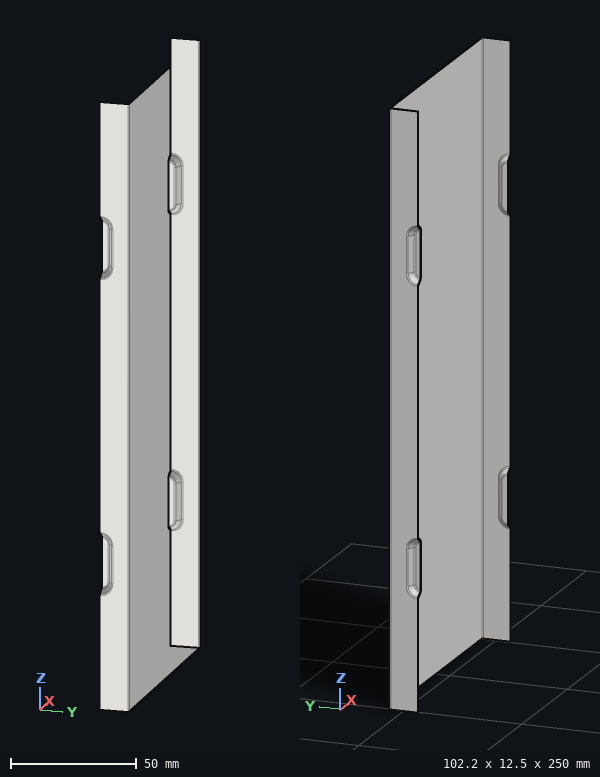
import cadquery as cq
import math

width = 102.2
depth = 12.5
height = 250.0
sheet = 0.6
inner_bend_radius = 0.5
outer_bend_radius = inner_bend_radius + sheet

dent_spacing = 130.0
dent_straight = 15.5
dent_mouth_radius = 4.5
dent_floor_radius = 2.5
dent_depth = 3.0
dent_bend_radius = 0.8
patch_margin = 1.5

left_face_x = -width / 2
free_edge_y = -depth / 2
dent_heights = [(height - dent_spacing) / 2, (height + dent_spacing) / 2]

wall_slope = math.atan2(dent_mouth_radius - dent_floor_radius, dent_depth)

wall_growth = sheet / math.cos(wall_slope)

patch_reach = dent_mouth_radius + wall_growth + patch_margin
patch_length = dent_straight + 2 * patch_reach


def rounded_block(block_width, block_depth, radius):
    """Full-height block starting at the free edge, with its two rear vertical edges rounded."""
    block = cq.Workplane("XY").box(block_width, block_depth, height, centered=(True, False, False))
    return block.translate((0, free_edge_y, 0)).edges("|Z and >Y").fillet(radius)


def make_channel():
    """Back panel with a flange along each long side, open toward -Y."""
    outside = rounded_block(width, depth, outer_bend_radius)
    inside = rounded_block(width - 2 * sheet, depth - sheet, inner_bend_radius)
    return outside.cut(inside)


def tapered_slot(mouth_radius, slot_depth):
    """Upright slot that starts at the left outer face and narrows toward +X."""
    mouth = cq.Workplane("YZ", origin=(left_face_x, free_edge_y, 0))
    mouth = mouth.slot2D(dent_straight + 2 * mouth_radius, 2 * mouth_radius, 90)
    return mouth.extrude(slot_depth, taper=math.degrees(wall_slope))


def patch_block(thickness, reach_below):
    """Block on the left outer face, reaching from the free edge to the patch border."""
    block = cq.Workplane("XY").box(
        thickness, patch_reach + reach_below, patch_length, centered=(False, False, True)
    )
    return block.translate((left_face_x, free_edge_y - reach_below, 0))


def round_slot_rim(body, face_selector, radius):
    """Round the edge where a slot-shaped feature meets the selected flat face."""
    rim = body.faces("|X").faces(face_selector).val().innerWires()[0]
    return body.newObject(rim.Edges()).fillet(radius)


def make_dented_patch():
    """Piece of left flange around one dent, with every bend rounded, centred on Z = 0."""
    bump = tapered_slot(dent_mouth_radius + wall_growth, dent_depth + sheet)
    bump = bump.faces(">X").edges().fillet(dent_bend_radius)
    cavity = tapered_slot(dent_mouth_radius, dent_depth)
    cavity = cavity.faces(">X").edges().fillet(dent_bend_radius)

    dented = patch_block(sheet, patch_reach).union(bump).cut(cavity)
    dented = round_slot_rim(dented, "<X", dent_bend_radius)
    dented = round_slot_rim(dented, "<X[-2]", dent_bend_radius)
    return dented.intersect(patch_block(dent_depth + sheet, 0))


def both_flanges(left_shape):
    return left_shape.union(left_shape.mirror("YZ"))


result = make_channel()
window = both_flanges(patch_block(sheet, 0))
dents = both_flanges(make_dented_patch())
for dent_height in dent_heights:
    position = (0, 0, dent_height)
    result = result.cut(window.translate(position)).union(dents.translate(position))
result = result.clean()